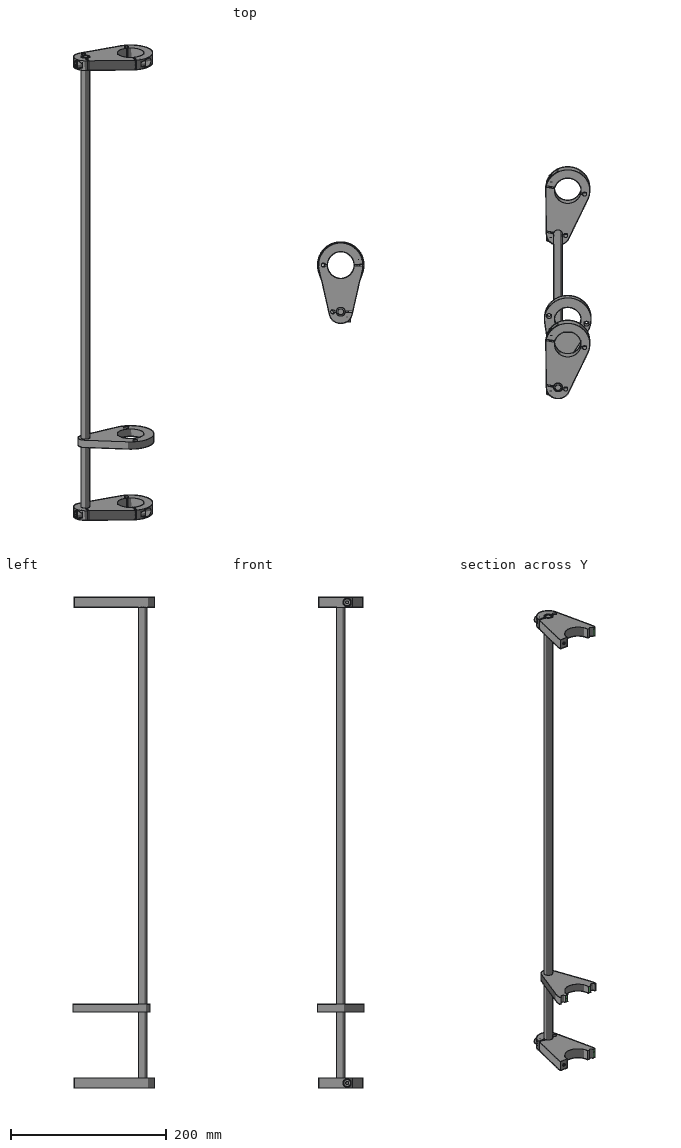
import cadquery as cq
import math

TOTAL_HEIGHT = 631.0
BORE_RADIUS = 17.0
ROD_OFFSET = 60.0
ROD_RADIUS = 5.5
ROD_CHAMFER = 2.0

CLAMP_THICKNESS = 13.0
CLAMP_RING_RADIUS = 28.5
CLAMP_TIP_RADIUS = 15.0
SLIT_WIDTH = 2.0
HINGE_RADIUS = 2.5
RING_HINGE_X = 22.0
TIP_HINGE_X = 10.0

RING_SCREW_X = 23.0
TIP_SCREW_X = 8.0
SEAT_DISTANCE = 7.0
SEAT_RADIUS = 5.35
HEAD_RADIUS = 4.5
HEAD_LENGTH = 6.0
SOCKET_RADIUS = 2.0
SOCKET_DEPTH = 4.0
SHANK_RADIUS = 2.0
SHANK_LENGTH = 2 * SEAT_DISTANCE

GUIDE_THICKNESS = 10.0
GUIDE_CENTRE_Z = 103.0
GUIDE_RING_RADIUS = 60.0 / 2
GUIDE_TIP_RADIUS = 9.5
GUIDE_HOLE_RADIUS = 3.0
GUIDE_HOLE_X = 24.5


def upright_cylinder(x, y, radius, height):
    """Cylinder along +Z standing on Z = 0."""
    return cq.Workplane("XY").center(x, y).circle(radius).extrude(height)


def level_cylinder(x, y_start, radius, length):
    """Cylinder along Y at mid clamp thickness; the sign of the length gives its direction."""
    axis = (0, math.copysign(1, length), 0)
    plane = cq.Plane((x, y_start, CLAMP_THICKNESS / 2), (1, 0, 0), axis)
    return cq.Workplane(plane).circle(radius).extrude(abs(length))


def teardrop(ring_radius, tip_radius, thickness):
    """Plate bounded by a ring arc and a tip arc joined by tangent lines, with the bore cut."""
    sine = (ring_radius - tip_radius) / ROD_OFFSET
    cosine = math.sqrt(1 - sine**2)
    ring_x, ring_y = ring_radius * cosine, -ring_radius * sine
    tip_x, tip_y = tip_radius * cosine, -ROD_OFFSET - tip_radius * sine
    outline = (
        cq.Workplane("XY")
        .moveTo(ring_x, ring_y)
        .threePointArc((0, ring_radius), (-ring_x, ring_y))
        .lineTo(-tip_x, tip_y)
        .threePointArc((0, -ROD_OFFSET - tip_radius), (tip_x, tip_y))
        .close()
    )
    return outline.extrude(thickness).cut(upright_cylinder(0, 0, BORE_RADIUS, thickness))


def slit(x_start, x_end, y):
    """Thin box through the clamp thickness that opens one jaw."""
    length = x_end - x_start
    return (
        cq.Workplane("XY")
        .center(x_start + length / 2, y)
        .rect(length, SLIT_WIDTH)
        .extrude(CLAMP_THICKNESS)
    )


def screw(x, seat_y, direction):
    """Socket-head screw whose head points along direction (+1 or -1) in Y."""
    head = level_cylinder(x, seat_y, HEAD_RADIUS, direction * HEAD_LENGTH)
    head_end = seat_y + direction * HEAD_LENGTH
    socket = level_cylinder(x, head_end, SOCKET_RADIUS, -direction * SOCKET_DEPTH)
    shank = level_cylinder(x, seat_y, SHANK_RADIUS, -direction * SHANK_LENGTH)
    return head.cut(socket).union(shank)


def add_jaw(body, y, direction, outer_radius, hinge_x, screw_x):
    """Slit a hole from its hinge on the -X side out to +X, and close it with a seated screw."""
    seat_y = y + direction * SEAT_DISTANCE
    return (
        body.cut(slit(-hinge_x, outer_radius, y))
        .cut(upright_cylinder(-hinge_x, y, HINGE_RADIUS, CLAMP_THICKNESS))
        .cut(level_cylinder(screw_x, seat_y, SEAT_RADIUS, direction * outer_radius))
        .union(screw(screw_x, seat_y, direction))
    )


def clamp():
    """Split plate that grips the bore with one jaw and the rod with another."""
    body = teardrop(CLAMP_RING_RADIUS, CLAMP_TIP_RADIUS, CLAMP_THICKNESS)
    body = body.cut(upright_cylinder(0, -ROD_OFFSET, ROD_RADIUS, CLAMP_THICKNESS))
    body = add_jaw(body, 0, 1, CLAMP_RING_RADIUS, RING_HINGE_X, RING_SCREW_X)
    return add_jaw(body, -ROD_OFFSET, -1, CLAMP_TIP_RADIUS, TIP_HINGE_X, TIP_SCREW_X)


def guide():
    """Unsplit plate with a small hole on each side of the bore."""
    plate = teardrop(GUIDE_RING_RADIUS, GUIDE_TIP_RADIUS, GUIDE_THICKNESS)
    for hole_x in (-GUIDE_HOLE_X, GUIDE_HOLE_X):
        plate = plate.cut(upright_cylinder(hole_x, 0, GUIDE_HOLE_RADIUS, GUIDE_THICKNESS))
    return plate


rod = upright_cylinder(0, -ROD_OFFSET, ROD_RADIUS, TOTAL_HEIGHT)
rod = rod.faces("<Z or >Z").chamfer(ROD_CHAMFER)

end_clamp = clamp()
result = (
    rod.union(end_clamp)
    .union(end_clamp.translate((0, 0, TOTAL_HEIGHT - CLAMP_THICKNESS)))
    .union(guide().translate((0, 0, GUIDE_CENTRE_Z - GUIDE_THICKNESS / 2)))
)